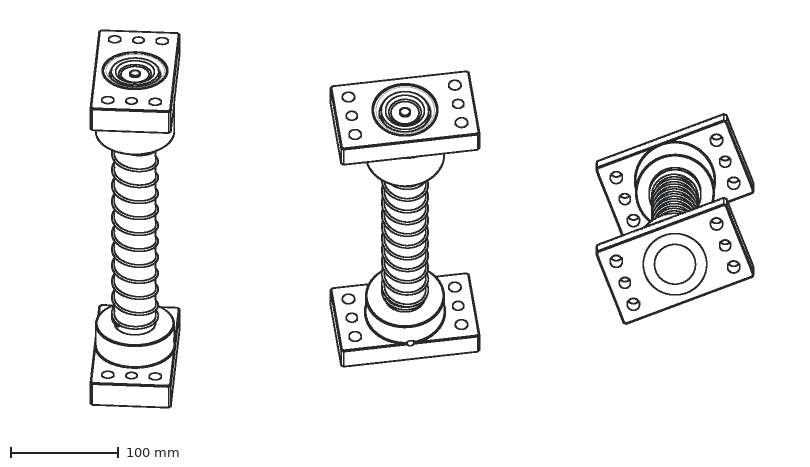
import cadquery as cq
import math

TOTAL_HEIGHT = 335.0
PLATE_TURN = 20.0

PLATE_WIDTH = 75.0
PLATE_LENGTH = 130.0
PLATE_THICKNESS = 25.0
CORNER_CHAMFER = 2.0
EDGE_CHAMFER = 1.0
HOLE_HALF_SPACING_X = 22.0
HOLE_HALF_SPACING_Y = 50.0
SCREW_HOLE_DIAMETER = 11.5
DOWEL_HOLE_DIAMETER = 10.5
UPPER_PLATE_BOTTOM = TOTAL_HEIGHT - PLATE_THICKNESS

SPIGOT_RADIUS = 29.5
FLANGE_RADIUS = 36.5
FOOT_WIDTH = 1.0
FOOT_HEIGHT = 0.7
LOWER_FLANGE_HEIGHT = 24.8
UPPER_FLANGE_HEIGHT = 45.2
FLANGE_CHAMFER = 1.0
ENTRY_FILLET = 3.0
UPPER_BUSH_BOTTOM = UPPER_PLATE_BOTTOM - UPPER_FLANGE_HEIGHT
LOWER_FLANGE_TOP = PLATE_THICKNESS + LOWER_FLANGE_HEIGHT

VENT_DIAMETER = 6.5

PILLAR_RADIUS = 19.0
PILLAR_TOP = 328.5
CAGE_RADIUS = 24.0
CAGE_BOTTOM = 256.5
BALL_HOLE_DIAMETER = 2.7
BALL_HOLE_COUNT = 16
BALL_HOLE_TURN = 6.8
BALL_HOLE_HEIGHT = 263.0
WIRE_RADIUS = 1.17
SPRING_RADIUS = 20.5
SPRING_START_HEIGHT = 56.5
SPRING_START_ANGLE = 245.0
CLOSED_PITCH = 2.5
ACTIVE_TURNS = 10.9

CAP_RADIUS = 22.0
CAP_TOP = 334.0
CONE_RADIUS = 18.0
CONE_HEIGHT = 333.7
STEP_RADIUS = 15.0
STEP_HEIGHT = 331.5
FLOOR_RADIUS = 13.0
FLOOR_HEIGHT = 330.7
PIN_RADIUS = 5.0
PIN_RISE = 1.7
PIN_CHAMFER = 0.7
PIN_BOTTOM = 318.3


def cylinder(radius, bottom, top):
    return cq.Workplane("XY").workplane(offset=bottom).circle(radius).extrude(top - bottom)


def turned(points):
    """Solid of revolution about Z from (radius, height) points."""
    return cq.Workplane("XZ").polyline(points).close().revolve(360, (0, 0, 0), (0, 1, 0))


def vent_hole():
    """Level drilling at the lower plate's inner face, from its long side to the pillar axis."""
    outward = cq.Plane(origin=(0, 0, PLATE_THICKNESS), xDir=(0, 0, 1), normal=(-1, 0, 0))
    drill = cq.Workplane(outward).circle(VENT_DIAMETER / 2).extrude(PLATE_WIDTH)
    return drill.rotate((0, 0, 0), (0, 0, 1), PLATE_TURN)


def make_plate(bottom):
    top = bottom + PLATE_THICKNESS
    plate = cq.Workplane("XY").workplane(offset=bottom).rect(PLATE_WIDTH, PLATE_LENGTH)
    plate = plate.extrude(PLATE_THICKNESS).edges("|Z").chamfer(CORNER_CHAMFER)
    plate = plate.faces("<Z or >Z").edges().chamfer(EDGE_CHAMFER)
    corner_spots = [(x, y) for x in (-HOLE_HALF_SPACING_X, HOLE_HALF_SPACING_X)
                    for y in (-HOLE_HALF_SPACING_Y, HOLE_HALF_SPACING_Y)]
    middle_spots = [(0, -HOLE_HALF_SPACING_Y), (0, HOLE_HALF_SPACING_Y)]
    for spots, diameter in ((corner_spots, SCREW_HOLE_DIAMETER), (middle_spots, DOWEL_HOLE_DIAMETER)):
        drill = cq.Workplane("XY").workplane(offset=bottom).pushPoints(spots).circle(diameter / 2)
        plate = plate.cut(drill.extrude(PLATE_THICKNESS))
    return plate.cut(cylinder(SPIGOT_RADIUS, bottom, top)).rotate((0, 0, 0), (0, 0, 1), PLATE_TURN)


def make_lower_plate():
    return make_plate(0).cut(vent_hole())


def make_upper_plate():
    rim = turned([
        (0, TOTAL_HEIGHT),
        (SPIGOT_RADIUS + EDGE_CHAMFER, TOTAL_HEIGHT),
        (SPIGOT_RADIUS, TOTAL_HEIGHT - EDGE_CHAMFER),
        (0, TOTAL_HEIGHT - EDGE_CHAMFER),
    ])
    return make_plate(UPPER_PLATE_BOTTOM).cut(rim)


def flanged_bush(bore_radius, plate_outer, plate_inner, flange_end):
    """Bush with its spigot from plate_outer to plate_inner and its flange from there to flange_end."""
    away = math.copysign(1, flange_end - plate_inner)
    return turned([
        (bore_radius, plate_outer),
        (SPIGOT_RADIUS, plate_outer),
        (SPIGOT_RADIUS, plate_inner),
        (FLANGE_RADIUS + FOOT_WIDTH, plate_inner),
        (FLANGE_RADIUS, plate_inner + away * FOOT_HEIGHT),
        (FLANGE_RADIUS, flange_end - away * FLANGE_CHAMFER),
        (FLANGE_RADIUS - FLANGE_CHAMFER, flange_end),
        (bore_radius, flange_end),
    ])


def make_lower_bush():
    return flanged_bush(PILLAR_RADIUS, 0, PLATE_THICKNESS, LOWER_FLANGE_TOP).cut(vent_hole())


def make_upper_bush():
    bush = flanged_bush(CAGE_RADIUS, TOTAL_HEIGHT, UPPER_PLATE_BOTTOM, UPPER_BUSH_BOTTOM)
    return bush.faces(">Z").edges(cq.selectors.RadiusNthSelector(0)).fillet(ENTRY_FILLET)


def make_pillar():
    return cylinder(PILLAR_RADIUS, 0, PILLAR_TOP).cut(cylinder(PIN_RADIUS, PIN_BOTTOM, PILLAR_TOP))


def make_cage():
    cage = cylinder(CAGE_RADIUS, CAGE_BOTTOM, PILLAR_TOP)
    cage = cage.cut(cylinder(PILLAR_RADIUS, CAGE_BOTTOM, PILLAR_TOP))
    drill = cq.Workplane("XZ").center(0, BALL_HOLE_HEIGHT).circle(BALL_HOLE_DIAMETER / 2)
    drill = drill.extrude(CAGE_RADIUS)
    for i in range(BALL_HOLE_COUNT):
        turn = BALL_HOLE_TURN + i * 360 / BALL_HOLE_COUNT
        cage = cage.cut(drill.rotate((0, 0, 0), (0, 0, 1), turn))
    return cage


def make_spring():
    """Left-handed coil: one closed turn, then open turns up to the underside of the cage."""
    open_start = SPRING_START_HEIGHT + CLOSED_PITCH
    open_height = CAGE_BOTTOM - WIRE_RADIUS - open_start
    pitch = open_height / ACTIVE_TURNS
    closed = cq.Wire.makeHelix(CLOSED_PITCH, CLOSED_PITCH, SPRING_RADIUS, lefthand=True)
    coils = cq.Wire.makeHelix(
        pitch, open_height, SPRING_RADIUS, center=cq.Vector(0, 0, CLOSED_PITCH), lefthand=True
    )
    path = cq.Wire.assembleEdges(closed.Edges() + coils.Edges())
    spring = cq.Workplane("XZ").center(SPRING_RADIUS, 0).circle(WIRE_RADIUS)
    spring = spring.sweep(cq.Workplane(path), isFrenet=True, transition="transformed")
    return spring.rotate((0, 0, 0), (0, 0, 1), SPRING_START_ANGLE).translate((0, 0, SPRING_START_HEIGHT))


def make_cap():
    return turned([
        (PIN_RADIUS, PILLAR_TOP),
        (CAP_RADIUS, PILLAR_TOP),
        (CAP_RADIUS, CAP_TOP),
        (CONE_RADIUS, CONE_HEIGHT),
        (STEP_RADIUS, STEP_HEIGHT),
        (FLOOR_RADIUS, FLOOR_HEIGHT),
        (PIN_RADIUS, FLOOR_HEIGHT),
    ])


def make_pin():
    return cylinder(PIN_RADIUS, PIN_BOTTOM, FLOOR_HEIGHT + PIN_RISE).faces(">Z").chamfer(PIN_CHAMFER)


lower_plate = make_lower_plate()
upper_plate = make_upper_plate()
lower_bush = make_lower_bush()
upper_bush = make_upper_bush()
pillar = make_pillar()
cage = make_cage()
spring = make_spring()
cap = make_cap()
pin = make_pin()

result = cq.Compound.makeCompound([
    lower_plate.val(),
    upper_plate.val(),
    lower_bush.val(),
    upper_bush.val(),
    pillar.val(),
    cage.val(),
    spring.val(),
    cap.val(),
    pin.val(),
])